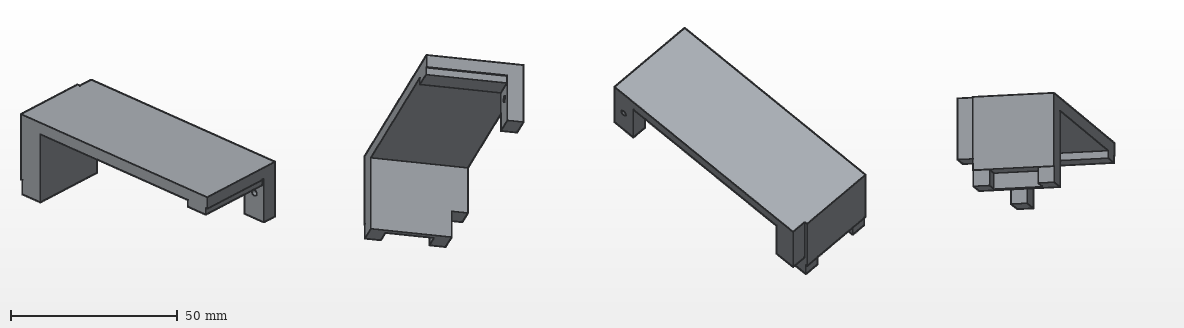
import cadquery as cq

length = 76.0
width = 30.0
height = 27.3

plate_thickness = 3.95

ear_thickness = 5.0
ear_drop = 18.8
ear_width = 8.0
left_ear_inset = 1.0
hole_diameter = 2.0
hole_depth_below_top = 10.0
hole_from_end = 3.9

leg_thickness = 8.0
foot_height = 4.9
foot_width = 5.0
foot_inset = 0.5
web_thickness = 2.0

lip_drop = 6.2
lip_inset = 0.6

body_width = width - ear_thickness


def box_between(x_range, y_range, z_range):
    """Box spanning the given (low, high) ranges."""
    ranges = (x_range, y_range, z_range)
    size = [high - low for low, high in ranges]
    corner = tuple(low for low, high in ranges)
    return cq.Workplane("XY").box(*size, centered=False).translate(corner)


def top_plate():
    z_range = (height - plate_thickness, height)
    main = box_between((0, length), (0, body_width), z_range)
    rear_strip = box_between((left_ear_inset, length), (body_width, width), z_range)
    return main.union(rear_strip)


def left_leg():
    upper = box_between((0, leg_thickness), (0, body_width), (foot_height, height))
    foot_z = (0, foot_height)
    base = box_between((foot_inset, leg_thickness), (0, body_width), foot_z)
    recess = box_between(
        (foot_inset, leg_thickness - web_thickness),
        (foot_width, body_width - foot_width),
        foot_z,
    )
    return upper.union(base.cut(recess))


def right_lip():
    return box_between(
        (length - ear_width, length - lip_inset),
        (0, body_width),
        (height - lip_drop, height),
    )


def left_ear():
    return box_between(
        (left_ear_inset, leg_thickness),
        (body_width, width),
        (height - ear_drop, height),
    )


def right_ear():
    ear = box_between(
        (length - ear_width, length),
        (body_width, width),
        (height - ear_drop, height),
    )
    hole = (
        cq.Workplane("XZ", origin=(0, width, 0))
        .center(length - hole_from_end, height - hole_depth_below_top)
        .circle(hole_diameter / 2)
        .extrude(ear_thickness)
    )
    return ear.cut(hole)


result = top_plate()
for feature in (left_leg, right_lip, left_ear, right_ear):
    result = result.union(feature())
result = result.clean()